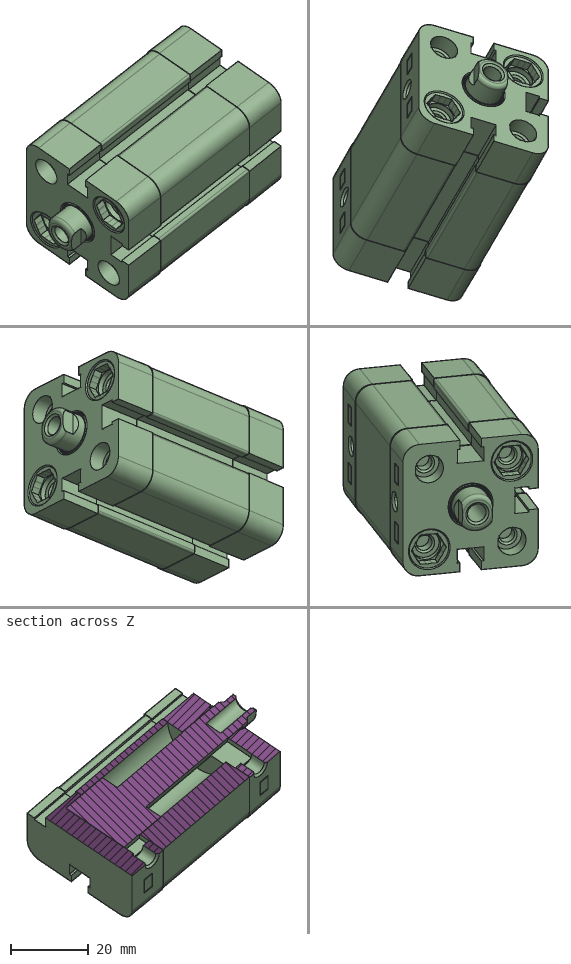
import cadquery as cq
import math


body_length = 57.1
cap_length = 11.9
barrel_length = body_length - 2 * cap_length
barrel_start = cap_length
barrel_end = barrel_start + barrel_length

cap_width = 36.3
cap_end_width = 36.06
barrel_width = 36.0
corner_radius = 4.5
cap_draft = math.degrees(math.atan((cap_width - cap_end_width) / 2 / cap_length))

slot_angles = [0, 90, 180]
slot_width = 7.0
lip_underside = 15.6
cap_slot_floor = 11.8
barrel_slot_floor = 12.0
cap_slot_mouth = 5.7
barrel_slot_mouth = 5.3
slot_mouth_round = 0.65

fixing_offset = 11.0
thread_bore = 4.13
thread_mouth = 5.2
thread_depth = 3.5

plain_corners = [(-1, 1), (1, -1)]
plain_hole_diameter = 7.5
plain_hole_depth = 4.35

screw_corners = [(1, 1), (-1, -1)]
seat_mouth = 11.1
seat_diameter = 10.48
hex_across_flats = 8.0
hex_relief_diameter = 8.15
hex_depth = 2.8
screw_bore = 7.55
screw_bore_depth = plain_hole_depth

port_offset = 7.65
port_bore = 4.13
port_mouth = 5.4
port_depth = 5.0
air_slot_height = 3.0
air_slot_reach = 1.55
front_slot_reach = port_bore / 2

label_offset = 6.2
label_height = 8.0
label_length = 3.0
label_width = 5.0
label_depth = 0.2

rod_diameter = 10.0
rod_projection = 6.5
rod_tip_round = 1.2
rod_flats = 8.0
rod_flat_length = 3.5
rod_thread_bore = 4.92
rod_thread_mouth = 6.1
rod_thread_depth = 12.0
gland_mouth = 12.0
gland_diameter = 11.4
gland_depth = 1.0
wiper_diameter = 10.9
wiper_mouth = 10.48
piston_diameter = 20.0
piston_length = 14.0
piston_end = body_length - port_offset + air_slot_reach


def cylinder_y(diameter, start, length):
    """Cylinder on the Y axis, from Y = start towards +Y."""
    return cq.Workplane("XZ", origin=(0, start, 0)).circle(diameter / 2).extrude(-length)


def cone_y(start_diameter, end_diameter, start):
    """45 degree cone on the Y axis, narrowing from Y = start towards +Y."""
    height = (start_diameter - end_diameter) / 2
    return cq.Workplane(
        cq.Solid.makeCone(
            start_diameter / 2, end_diameter / 2, height, cq.Vector(0, start, 0), cq.Vector(0, 1, 0)
        )
    )


def rounded_square(width, start, length, draft=0):
    outline = cq.Sketch().rect(width, width).vertices().fillet(corner_radius)
    return cq.Workplane("XZ", origin=(0, start, 0)).placeSketch(outline).extrude(-length, taper=draft)


def cut_slots(body, floor, mouth_width, start, length):
    """Cut the stepped slots, each a wide channel behind a narrower mouth, into three sides."""
    channel = cq.Workplane("XY").box(slot_width, length, lip_underside - floor, centered=(True, False, False))
    mouth = cq.Workplane("XY").box(mouth_width, length, cap_width / 2 - floor, centered=(True, False, False))
    slot = channel.union(mouth).translate((0, start, floor))
    for angle in slot_angles:
        body = body.cut(slot.rotate((0, 0, 0), (0, 1, 0), angle))
    return body


def round_slot_mouths(barrel):
    """Round the two outer edges of every slot mouth."""
    half_mouth = barrel_slot_mouth / 2
    middle = barrel_start + barrel_length / 2
    for angle in slot_angles:
        for side in (-1, 1):
            edge_point = cq.Vector(side * half_mouth, middle, barrel_width / 2)
            turned = cq.Workplane(cq.Vertex.makeVertex(*edge_point.toTuple())).rotate(
                (0, 0, 0), (0, 1, 0), angle
            )
            nearest = cq.NearestToPointSelector(turned.val().toTuple())
            barrel = barrel.edges("|Y").edges(nearest).fillet(slot_mouth_round)
    return barrel


def threaded_hole(start):
    """Chamfered M5 core hole sunk from Y = start."""
    return cylinder_y(thread_bore, start, thread_depth).union(cone_y(thread_mouth, thread_bore, start))


def plain_fixing_hole():
    return cylinder_y(plain_hole_diameter, 0, plain_hole_depth).union(threaded_hole(plain_hole_depth))


def screw_recess():
    """Sunk head of a fixing screw: bevelled seat, relieved hexagon socket and threaded bore."""
    seat = cone_y(seat_mouth, seat_diameter, 0)
    hex_across_corners = hex_across_flats / math.cos(math.pi / 6)
    socket = cq.Workplane("XZ").polygon(6, hex_across_corners).extrude(-hex_depth)
    relief = cylinder_y(hex_relief_diameter, 0, hex_depth)
    bore = cylinder_y(screw_bore, 0, screw_bore_depth)
    return seat.union(socket).union(relief).union(bore).union(threaded_hole(screw_bore_depth))


def air_port(port_y):
    """Chamfered port hole entering from the -X side."""
    wall = -cap_width / 2
    chamfer = (port_mouth - port_bore) / 2
    hole = cq.Workplane("YZ", origin=(wall, port_y, 0)).circle(port_bore / 2).extrude(port_depth)
    mouth = cq.Solid.makeCone(
        port_mouth / 2, port_bore / 2, chamfer, cq.Vector(wall, port_y, 0), cq.Vector(1, 0, 0)
    )
    return hole.union(cq.Workplane(mouth))


def air_slot(start, end):
    """Narrow channel from the floor of a port inwards to the cylinder axis."""
    near_end = min(start, end)
    floor = -cap_width / 2 + port_depth
    slot = cq.Workplane("XY").box(-floor, abs(end - start), air_slot_height, centered=(False, False, True))
    return slot.translate((floor, near_end, 0))


def label_panels(label_y):
    panels = cq.Workplane("YZ", origin=(-cap_width / 2, label_y, 0))
    panels = panels.pushPoints([(0, label_height), (0, -label_height)])
    return panels.rect(label_length, label_width).extrude(label_depth)


def gland_groove():
    """Bevelled groove around the rod that leaves a wiper lip standing, flared at its mouth."""
    groove = cylinder_y(gland_diameter, 0, gland_depth).union(cone_y(gland_mouth, gland_diameter, 0))
    lip = cylinder_y(wiper_diameter, 0, gland_depth).cut(cone_y(wiper_mouth, rod_diameter, 0))
    return groove.cut(lip)


def make_cap_blank():
    """Drafted cap with its outer face at Y = 0, its air port and its label panels."""
    cap = rounded_square(cap_width, 0, cap_length, cap_draft)
    cap = cap.mirror("XZ").translate((0, cap_length, 0))
    cap = cut_slots(cap, cap_slot_floor, cap_slot_mouth, 0, cap_length)
    return cap.cut(air_port(port_offset)).cut(label_panels(label_offset))


def make_front_cap():
    cap = make_cap_blank()
    for x_side, z_side in plain_corners:
        cap = cap.cut(plain_fixing_hole().translate((x_side * fixing_offset, 0, z_side * fixing_offset)))
    for x_side, z_side in screw_corners:
        cap = cap.cut(screw_recess().translate((x_side * fixing_offset, 0, z_side * fixing_offset)))
    cap = cap.cut(air_slot(port_offset - front_slot_reach, cap_length))
    cap = cap.cut(cylinder_y(rod_diameter, 0, cap_length))
    return cap.cut(gland_groove())


def make_rear_cap():
    cap = make_cap_blank().mirror("XZ").translate((0, body_length, 0))
    cap = cap.cut(air_slot(barrel_end, piston_end))
    return cap.cut(cylinder_y(piston_diameter, barrel_end, piston_end - barrel_end))


def make_barrel():
    barrel = rounded_square(barrel_width, barrel_start, barrel_length)
    barrel = cut_slots(barrel, barrel_slot_floor, barrel_slot_mouth, barrel_start, barrel_length)
    barrel = round_slot_mouths(barrel)
    return barrel.cut(cylinder_y(piston_diameter, barrel_start, barrel_length))


def make_piston_rod():
    """Rod with spanner flats and a threaded end, in one piece with the retracted piston."""
    tip = -rod_projection
    rod = cylinder_y(rod_diameter, tip, piston_end - tip).faces("<Y").edges().fillet(rod_tip_round)
    flat_inset = (rod_diameter - rod_flats) / 2
    flat_end = tip + rod_flat_length
    for side in (-1, 1):
        flat = [
            (side * rod_flats / 2, tip),
            (side * rod_flats / 2, flat_end),
            (side * rod_diameter / 2, flat_end + flat_inset),
            (side * rod_diameter, flat_end + flat_inset),
            (side * rod_diameter, tip),
        ]
        rod = rod.cut(cq.Workplane("XY").polyline(flat).close().extrude(rod_diameter / 2, both=True))
    rod = rod.cut(cylinder_y(rod_thread_bore, tip, rod_thread_depth))
    rod = rod.cut(cone_y(rod_thread_mouth, rod_thread_bore, tip))
    return rod.union(cylinder_y(piston_diameter, piston_end - piston_length, piston_length))


front_cap = make_front_cap()
barrel = make_barrel()
rear_cap = make_rear_cap()
piston_rod = make_piston_rod()

result = cq.Compound.makeCompound([front_cap.val(), barrel.val(), rear_cap.val(), piston_rod.val()])